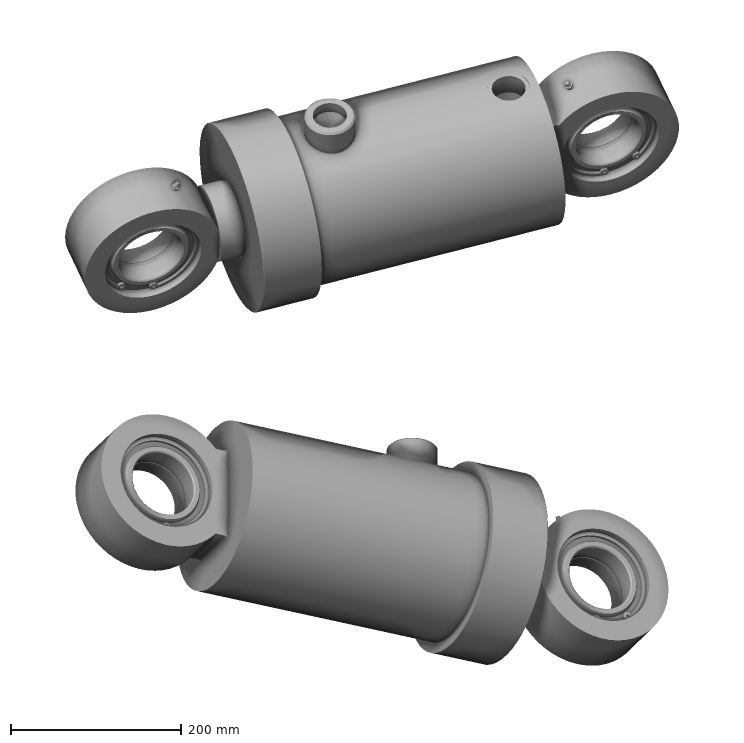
import cadquery as cq
import math


overall_length = 740.0
eye_diameter = 170.0
eye_radius = eye_diameter / 2
eye_width = 70.0
eye_spacing = overall_length - eye_diameter
rod_eye_tilt = 1.0

barrel_diameter = 205.0
barrel_start = 80.0
gland_diameter = 230.0
gland_start = 388.0
gland_end = 459.5
gland_edge_chamfer = 1.0

neck_width = 69.5
neck_height = 112.0
neck_fillet = 4.5

rod_diameter = 90.0
rod_collar_diameter = 92.5
rod_collar_start = 462.0
rod_collar_end = 488.5
rod_engagement = gland_end - gland_start
rod_relief_diameter = 96.0
rod_relief_depth = 2.0

port_diameter = 40.0
cap_port_depth = 29.5
boss_port_depth = 15.0
drill_point_angle = 118.0
boss_diameter = 60.0
boss_position = 337.5
boss_top = 247.0 - gland_diameter / 2
boss_chamfer = 2.0
cap_port_position = 115.0
spotface_diameter = 49.5
spotface_depth = 1.5

bearing_outer_diameter = 120.0
bearing_bore = 80.0
outer_ring_width = 44.5
inner_ring_width = 55.0
ball_diameter = 108.0
bore_chamfer = 1.5
oil_groove_width = 6.0
oil_groove_depth = 1.0
clip_inner_diameter = 111.0
clip_thickness = 4.0
clip_gap_angle = 45.0
clip_gap_centre = 18.0
lug_diameter = 10.0
lug_circle_diameter = 111.0
lug_hole_diameter = 3.5

nipple_angle = 26.5
nipple_shank_diameter = 6.0
nipple_shank_depth = 11.0
nipple_collar_diameter = 8.0
nipple_collar_height = 4.0
nipple_neck_diameter = 4.5
nipple_neck_height = 1.5
nipple_head_diameter = 6.45
nipple_head_height = 4.5


def x_cylinder(diameter, width):
    """Cylinder along X, centred on the origin."""
    start_towards_barrel = cq.Plane(origin=(0, 0, 0), xDir=(0, -1, 0), normal=(1, 0, 0))
    return cq.Workplane(start_towards_barrel).circle(diameter / 2).extrude(width / 2, both=True)


def y_cylinder(diameter, start, end):
    """Cylinder on the main axis between two distances from the cap eye centre."""
    return cq.Workplane("XZ", origin=(0, -start, 0)).circle(diameter / 2).extrude(end - start)


def tilt_nipple(body):
    """Turn a body that stands on Z to the direction of the grease nipple."""
    return body.rotate((0, 0, 0), (1, 0, 0), nipple_angle)


def to_rod_end(body):
    """Move a body from the cap eye to the rod eye, facing back to the barrel."""
    turned = body.rotate((0, 0, 0), (0, 0, 1), 180)
    tilted = turned.rotate((0, 0, 0), (0, 1, 0), rod_eye_tilt)
    return tilted.translate((0, -eye_spacing, 0))


def cut_eye(body):
    """Cut the bearing seat and the nipple hole into an eye at the origin."""
    nipple_hole = (
        cq.Workplane("XY", origin=(0, 0, eye_radius - nipple_shank_depth))
        .circle(nipple_shank_diameter / 2)
        .extrude(nipple_shank_depth + 7.5)
    )
    return body.cut(x_cylinder(bearing_outer_diameter, eye_width)).cut(tilt_nipple(nipple_hole))


def port_tool(position, top, depth):
    """Blind drilled hole with a conical bottom, entering from above."""
    radius = port_diameter / 2
    point = radius / math.tan(math.radians(drill_point_angle / 2))
    floor = top - depth
    return (
        cq.Workplane("XZ")
        .polyline([(0, floor - point), (radius, floor), (radius, top), (0, top)])
        .close()
        .revolve(360, (0, 0), (0, 1))
        .translate((0, -position, 0))
    )


def make_neck():
    """Block from the cap eye to the barrel, flaring in concave rounds at the barrel."""
    half = neck_height / 2
    flare_start = -(barrel_start - neck_fillet)
    flare_height = half + neck_fillet
    arc_rise = neck_fillet * (1 - math.sqrt(0.5))
    arc_run = neck_fillet * math.sqrt(0.5)
    return (
        cq.Workplane("YZ")
        .moveTo(0, -half)
        .lineTo(flare_start, -half)
        .threePointArc((flare_start - arc_run, -half - arc_rise), (-barrel_start, -flare_height))
        .lineTo(-barrel_start, flare_height)
        .threePointArc((flare_start - arc_run, half + arc_rise), (flare_start, half))
        .lineTo(0, half)
        .close()
        .extrude(neck_width / 2, both=True)
    )


def make_barrel():
    """Barrel with gland, cap eye and both ports."""
    cap_eye = cut_eye(x_cylinder(eye_diameter, eye_width).union(make_neck()))
    gland = y_cylinder(gland_diameter, gland_start, gland_end).faces("<Y").chamfer(gland_edge_chamfer)
    boss = (
        cq.Workplane("XY", origin=(0, -boss_position, 0))
        .circle(boss_diameter / 2)
        .extrude(boss_top)
        .faces(">Z")
        .chamfer(boss_chamfer)
    )
    barrel = y_cylinder(barrel_diameter, barrel_start, gland_start)
    body = barrel.union(gland).union(boss).union(cap_eye)

    spotface_height = barrel_diameter / 2 - spotface_depth
    spotface = (
        cq.Workplane("XY", origin=(0, -cap_port_position, spotface_height))
        .circle(spotface_diameter / 2)
        .extrude(2 * spotface_depth)
    )
    body = body.cut(spotface)
    body = body.cut(port_tool(cap_port_position, barrel_diameter / 2, cap_port_depth))
    body = body.cut(port_tool(boss_position, boss_top, boss_port_depth))

    rod_hole = y_cylinder(rod_diameter, gland_end - rod_engagement, gland_end)
    rod_relief = y_cylinder(rod_relief_diameter, gland_end - rod_relief_depth, gland_end)
    return body.cut(rod_hole).cut(rod_relief)


def make_rod():
    """Piston rod with its collar and eye."""
    shaft = y_cylinder(rod_diameter, gland_end - rod_engagement, rod_collar_start)
    collar = y_cylinder(rod_collar_diameter, rod_collar_start, rod_collar_end)
    eye = to_rod_end(cut_eye(x_cylinder(eye_diameter, eye_width)))
    return shaft.union(collar).union(eye)


def make_clip():
    """Open retaining ring with two drilled lugs, lying against the bearing on its +X side."""
    inner = clip_inner_diameter / 2
    half_gap = clip_gap_angle / 2
    reach = bearing_outer_diameter
    side = reach * math.tan(math.radians(half_gap))

    plane = cq.Workplane("YZ", origin=(outer_ring_width / 2, 0, 0))
    ring = plane.circle(bearing_outer_diameter / 2).circle(inner).extrude(clip_thickness)
    gap = plane.polyline([(0, 0), (side, -reach), (-side, -reach)]).close().extrude(clip_thickness)
    lug_points = []
    for angle in (-half_gap, half_gap):
        turn = math.radians(angle)
        lug_points.append((lug_circle_diameter / 2 * math.sin(turn), -lug_circle_diameter / 2 * math.cos(turn)))
    lugs = plane.pushPoints(lug_points).circle(lug_diameter / 2).extrude(clip_thickness)
    holes = plane.pushPoints(lug_points).circle(lug_hole_diameter / 2).extrude(clip_thickness)
    disc = plane.circle(bearing_outer_diameter / 2).extrude(clip_thickness)
    clip = ring.cut(gap).union(lugs.intersect(disc)).cut(holes)
    return clip.rotate((0, 0, 0), (1, 0, 0), clip_gap_centre)


def make_bearing():
    """Spherical plain bearing with a retaining ring on each side."""
    ball_radius = ball_diameter / 2
    outer_half = outer_ring_width / 2
    inner_half = inner_ring_width / 2
    bore = bearing_bore / 2
    outer = bearing_outer_diameter / 2
    groove_half = oil_groove_width / 2
    groove = bore + oil_groove_depth
    ball_at_outer_face = math.sqrt(ball_radius**2 - outer_half**2)
    ball_at_inner_face = math.sqrt(ball_radius**2 - inner_half**2)
    arc_middle = (outer_half + inner_half) / 2
    ball_at_arc_middle = math.sqrt(ball_radius**2 - arc_middle**2)

    half_section = (
        cq.Workplane("XY")
        .moveTo(0, groove)
        .lineTo(groove_half, groove)
        .lineTo(groove_half, bore)
        .lineTo(inner_half - bore_chamfer, bore)
        .lineTo(inner_half, bore + bore_chamfer)
        .lineTo(inner_half, ball_at_inner_face)
        .threePointArc((arc_middle, ball_at_arc_middle), (outer_half, ball_at_outer_face))
        .lineTo(outer_half, outer)
        .lineTo(0, outer)
        .close()
    )
    half = half_section.revolve(360, (0, 0), (1, 0)).union(make_clip())
    return half.union(half.mirror("YZ"))


def make_nipple():
    """Grease nipple turned about its own axis, screwed into the cap eye."""
    shank = nipple_shank_diameter / 2
    collar = nipple_collar_diameter / 2
    neck = nipple_neck_diameter / 2
    head = nipple_head_diameter / 2
    seat = eye_radius
    collar_top = seat + nipple_collar_height
    neck_top = collar_top + nipple_neck_height
    top = neck_top + nipple_head_height
    profile = [
        (0, seat - nipple_shank_depth),
        (shank, seat - nipple_shank_depth),
        (shank, seat),
        (collar, seat),
        (collar, collar_top),
        (neck, collar_top),
        (head, neck_top),
        (neck, top),
        (0, top),
    ]
    return tilt_nipple(cq.Workplane("XZ").polyline(profile).close().revolve(360, (0, 0), (0, 1)))


barrel = make_barrel()
rod = make_rod()
bearing = make_bearing()
nipple = make_nipple()

bearings = [bearing, to_rod_end(bearing)]
nipples = [nipple, to_rod_end(nipple)]

result = cq.Compound.makeCompound([body.val() for body in [barrel, rod, *bearings, *nipples]])